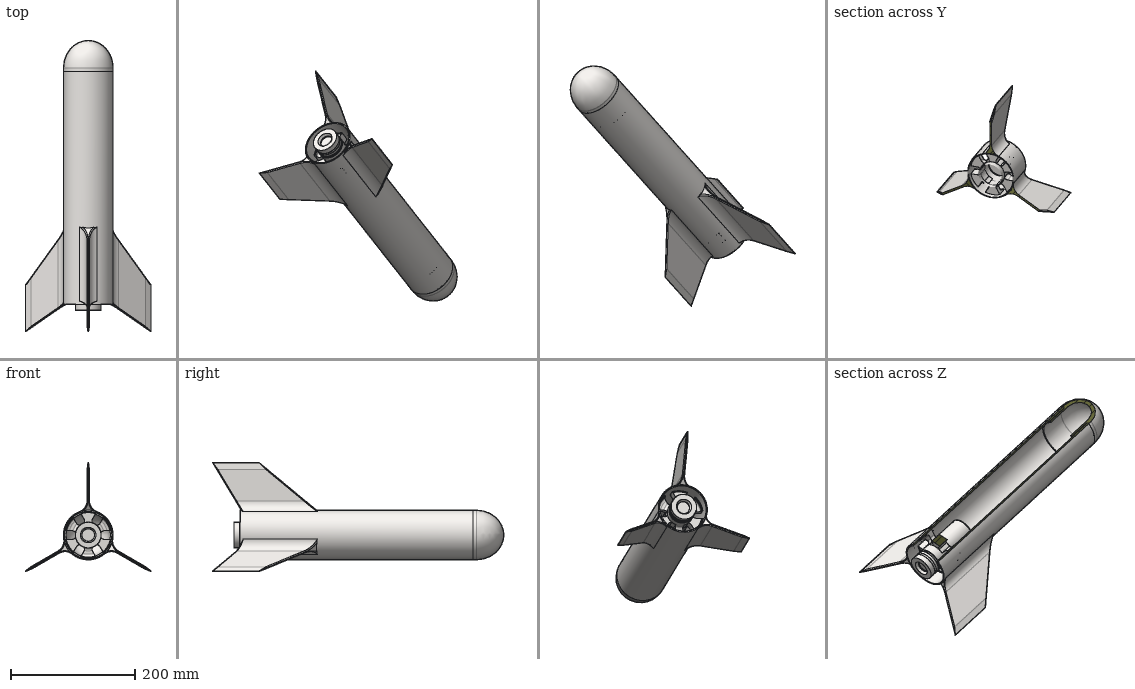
import cadquery as cq
import math


TUBE_OD = 80.5
TUBE_ID = 76.0
TUBE_LENGTH = 376.0
TUBE_RADIUS = TUBE_OD / 2

NOSE_COLLAR = 5.5
NOSE_DOME = 44.0
NOSE_WALL = 4.5
SHOULDER_LENGTH = 37.5
SHOULDER_ID = 71.5

FIN_COUNT = 3
FIN_SPAN = 76.5
FIN_THICKNESS = 4.0
FIN_EDGE = 1.0
FIN_TIP_BEVEL = 11.0
ROOT_FILLET = 19.0
ROOT_RADIUS = 37.5
ROOT_OVERLAP = 4.5
ROOT_LEADING_Y = 126.5
ROOT_TRAILING_Y = 3.5
TIP_LEADING_Y = 31.0
TIP_TRAILING_Y = -44.0
TIP_RADIUS = TUBE_RADIUS + FIN_SPAN
TOLERANCE = 0.05

SLEEVE_ID = 71.5
SLEEVE_CHAMFER = 1.0
MOTOR_OD = 42.0
MOTOR_TUBE_ID = 38.5
MOUNT_AFT_Y = 26.5
DEEP_SPOKE_Y = 35.5
WEB_FORWARD_Y = 45.0
MOUNT_FORWARD_Y = 94.0
SPOKE_FILLET = 4.5
SLOT_COUNT = 6
SLOT_WIDTH = 14.0
SLOT_END_RADIUS = 26.5
SLOT_INNER_DIAMETER = 41.5

RETAINER_AFT_Y = -10.0
RETAINER_FORWARD_Y = 11.7
GROOVE_DIAMETER = 41.5
GROOVE_WIDTH = 3.8
GROOVE_STARTS = (-0.5, 8.0)
MOUTH_DIAMETER = 25.0
MOUTH_DEPTH = 4.5
BORE_DIAMETER = 20.0
BORE_DEPTH = 6.5


def cylinder(diameter, start, end):
    """Solid cylinder about the Y axis between two Y positions."""
    return cq.Workplane("XZ", origin=(0, start, 0)).circle(diameter / 2).extrude(start - end)


def ring(outer, inner, start, end):
    """Hollow cylinder about the Y axis between two Y positions."""
    return cylinder(outer, start, end).cut(cylinder(inner, start, end))


def body_tube():
    return ring(TUBE_OD, TUBE_ID, 0, TUBE_LENGTH)


def dome(radius, height, base):
    """Half ellipsoid on a flat base, pointing toward +Y."""
    profile = (
        cq.Workplane("XY", origin=(0, base, 0))
        .ellipseArc(radius, height, 0, 90, startAtCurrent=False)
        .lineTo(0, 0)
        .close()
    )
    return profile.revolve(360, (0, 0, 0), (0, 1, 0))


def nose_cone():
    """Hollow elliptical nose with a collar and a shoulder that fits inside the body tube."""
    dome_base = TUBE_LENGTH + NOSE_COLLAR
    shoulder_aft = TUBE_LENGTH - SHOULDER_LENGTH
    nose = cylinder(TUBE_OD, TUBE_LENGTH, dome_base)
    nose = nose.union(dome(TUBE_RADIUS, NOSE_DOME, dome_base))
    nose = nose.union(cylinder(TUBE_ID, shoulder_aft, TUBE_LENGTH))
    nose = nose.cut(cylinder(SHOULDER_ID, shoulder_aft, dome_base))
    return nose.cut(dome(SHOULDER_ID / 2, NOSE_DOME - NOSE_WALL, dome_base))


def leading_y(radius):
    slope = (TIP_LEADING_Y - ROOT_LEADING_Y) / (TIP_RADIUS - ROOT_RADIUS)
    return ROOT_LEADING_Y + slope * (radius - ROOT_RADIUS)


def trailing_y(radius):
    slope = (TIP_TRAILING_Y - ROOT_TRAILING_Y) / (TIP_RADIUS - ROOT_RADIUS)
    return ROOT_TRAILING_Y + slope * (radius - ROOT_RADIUS)


def planform(inner):
    """Slab with the swept outline of the fin, from the given radius out to the tip."""
    outline = cq.Workplane("YZ").polyline(
        [
            (trailing_y(inner), inner),
            (leading_y(inner), inner),
            (leading_y(TIP_RADIUS), TIP_RADIUS),
            (trailing_y(TIP_RADIUS), TIP_RADIUS),
        ]
    )
    return outline.close().extrude(TUBE_OD, both=True)


def along_chord(section):
    """Extrude a fin cross-section over the full length of the fin."""
    return section.extrude(ROOT_LEADING_Y - TIP_TRAILING_Y)


def is_sloped_edge(edge, lowest_z):
    """True for an edge that climbs away from the tube and starts no lower than lowest_z."""
    start_z = edge.startPoint().z
    end_z = edge.endPoint().z
    return abs(start_z - end_z) > TOLERANCE and min(start_z, end_z) > lowest_z - TOLERANCE


def fin():
    """One upright fin: a bevelled blade whose root is filleted onto the body tube."""
    half = FIN_THICKNESS / 2
    half_edge = FIN_EDGE / 2
    plane = cq.Workplane("XZ", origin=(0, ROOT_LEADING_Y, 0))

    fillet_x = half + ROOT_FILLET
    centre_distance = TUBE_RADIUS + ROOT_FILLET
    fillet_z = math.sqrt(centre_distance**2 - fillet_x**2)
    foot_x = fillet_x * TUBE_RADIUS / centre_distance
    foot_z = fillet_z * TUBE_RADIUS / centre_distance
    chord = math.hypot(foot_x - half, foot_z - fillet_z)
    sag = ROOT_FILLET - math.sqrt(ROOT_FILLET**2 - chord**2 / 4)

    inner_z = foot_z - ROOT_OVERLAP
    blade = along_chord(
        plane.moveTo(half, TIP_RADIUS)
        .lineTo(half, fillet_z)
        .sagittaArc((foot_x, foot_z), -sag)
        .lineTo(foot_x, inner_z)
        .lineTo(-foot_x, inner_z)
        .lineTo(-foot_x, foot_z)
        .sagittaArc((-half, fillet_z), -sag)
        .lineTo(-half, TIP_RADIUS)
        .close()
    ).intersect(planform(inner_z))

    bevel = (FIN_THICKNESS - FIN_EDGE) / 2
    sloped = [edge for edge in blade.edges().vals() if is_sloped_edge(edge, foot_z)]
    blade = cq.Workplane(blade.val().chamfer(bevel, None, sloped))

    taper_start = TIP_RADIUS - FIN_TIP_BEVEL
    tapered_tip = along_chord(
        plane.polyline(
            [
                (-foot_x, inner_z),
                (foot_x, inner_z),
                (foot_x, taper_start),
                (half, taper_start),
                (half_edge, TIP_RADIUS),
                (-half_edge, TIP_RADIUS),
                (-half, taper_start),
                (-foot_x, taper_start),
            ]
        ).close()
    )
    tube_space = cylinder(TUBE_OD, ROOT_LEADING_Y + ROOT_OVERLAP, TIP_TRAILING_Y)
    return blade.intersect(tapered_tip).cut(tube_space)


def fins():
    upright = fin()
    step = 360 / FIN_COUNT
    return [upright.rotate((0, 0, 0), (0, 1, 0), i * step) for i in range(FIN_COUNT)]


def slot(angle):
    """Radial slot through the web and sleeve, with a round inner end against the motor tube."""
    depth = WEB_FORWARD_Y - MOUNT_AFT_Y
    length = TUBE_OD / 2 - SLOT_END_RADIUS
    channel = cq.Workplane("XY").box(length, depth, SLOT_WIDTH, centered=(False, False, True))
    channel = channel.translate((0, MOUNT_AFT_Y, 0))
    cutter = cylinder(SLOT_WIDTH, MOUNT_AFT_Y, WEB_FORWARD_Y).union(channel)
    cutter = cutter.translate((SLOT_END_RADIUS, 0, 0))
    cutter = cutter.cut(cylinder(SLOT_INNER_DIAMETER, MOUNT_AFT_Y, WEB_FORWARD_Y))
    return cutter.rotate((0, 0, 0), (0, 1, 0), angle)


def mount_body():
    """Sleeve, motor tube and the deep web between them, with both aft corners of the web filleted."""
    sleeve_outer = TUBE_ID / 2
    sleeve_inner = SLEEVE_ID / 2
    tube_outer = MOTOR_OD / 2
    tube_inner = MOTOR_TUBE_ID / 2
    profile = (
        cq.Workplane("XY")
        .moveTo(tube_inner, RETAINER_FORWARD_Y)
        .lineTo(tube_outer, RETAINER_FORWARD_Y)
        .lineTo(tube_outer, DEEP_SPOKE_Y - SPOKE_FILLET)
        .radiusArc((tube_outer + SPOKE_FILLET, DEEP_SPOKE_Y), SPOKE_FILLET)
        .lineTo(sleeve_inner - SPOKE_FILLET, DEEP_SPOKE_Y)
        .radiusArc((sleeve_inner, DEEP_SPOKE_Y - SPOKE_FILLET), SPOKE_FILLET)
        .lineTo(sleeve_inner, MOUNT_AFT_Y + SLEEVE_CHAMFER)
        .lineTo(sleeve_inner + SLEEVE_CHAMFER, MOUNT_AFT_Y)
        .lineTo(sleeve_outer, MOUNT_AFT_Y)
        .lineTo(sleeve_outer, WEB_FORWARD_Y)
        .lineTo(tube_outer, WEB_FORWARD_Y)
        .lineTo(tube_outer, MOUNT_FORWARD_Y)
        .lineTo(tube_inner, MOUNT_FORWARD_Y)
        .close()
    )
    return profile.revolve(360, (0, 0, 0), (0, 1, 0))


def plain_spoke(angle):
    """Spoke in line with a fin, flat and level with the aft end of the sleeve."""
    half_width = TUBE_OD * math.tan(math.pi / SLOT_COUNT)
    wedge = cq.Workplane("XZ").polyline([(0, 0), (half_width, TUBE_OD), (-half_width, TUBE_OD)])
    wedge = wedge.close().extrude(-MOUNT_FORWARD_Y)
    spoke = ring(SLEEVE_ID + SLEEVE_CHAMFER, MOTOR_OD - SLEEVE_CHAMFER, MOUNT_AFT_Y, WEB_FORWARD_Y)
    return spoke.intersect(wedge).rotate((0, 0, 0), (0, 1, 0), angle)


def motor_mount():
    """Sleeve and motor tube joined by six spokes; every second spoke is set deeper and filleted."""
    mount = mount_body()
    for i in range(FIN_COUNT):
        mount = mount.union(plain_spoke(i * 360 / FIN_COUNT))
    for i in range(SLOT_COUNT):
        mount = mount.cut(slot(i * 360 / SLOT_COUNT))
    return mount


def retainer():
    """Motor retainer with a conical mouth leading into a blind bore."""
    cap = cylinder(MOTOR_OD, RETAINER_AFT_Y, RETAINER_FORWARD_Y)
    for start in GROOVE_STARTS:
        cap = cap.cut(ring(MOTOR_OD, GROOVE_DIAMETER, start, start + GROOVE_WIDTH))
    mouth = (
        cq.Workplane("XZ", origin=(0, RETAINER_AFT_Y, 0))
        .circle(MOUTH_DIAMETER / 2)
        .workplane(offset=-MOUTH_DEPTH)
        .circle(BORE_DIAMETER / 2)
        .loft()
    )
    bore = cylinder(BORE_DIAMETER, RETAINER_AFT_Y, RETAINER_AFT_Y + BORE_DEPTH)
    return cap.cut(mouth).cut(bore)


result = cq.Compound.makeCompound(
    [nose_cone().val(), body_tube().val(), motor_mount().val(), retainer().val()]
    + [blade.val() for blade in fins()]
)